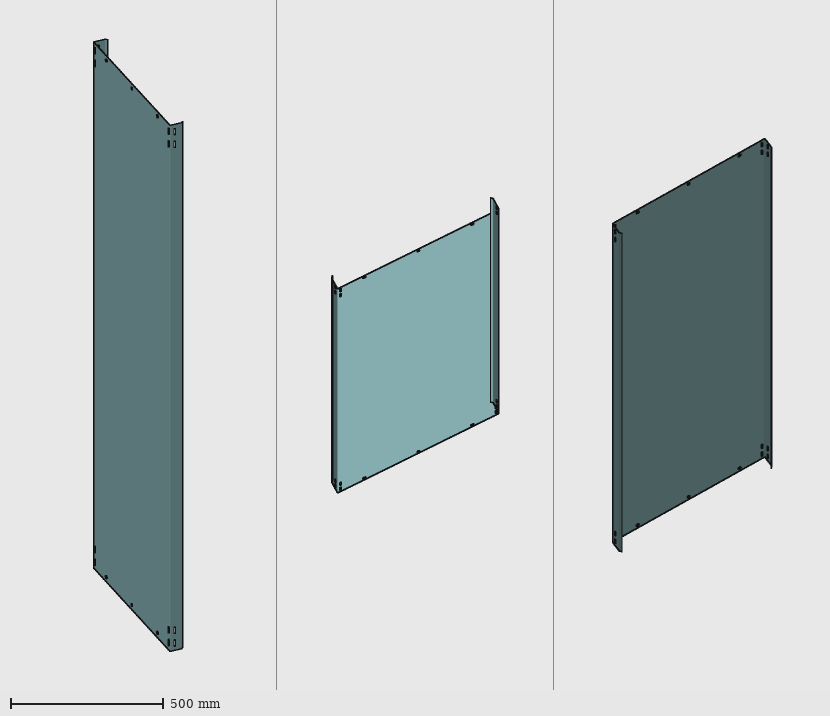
import cadquery as cq
import math

WIDTH = 600.0
DEPTH = 50.0
HEIGHT = 2000.0
SHEET = 2.0
OUTER_BEND_RADIUS = 5.0
INNER_BEND_RADIUS = OUTER_BEND_RADIUS - SHEET
LIP_ANGLE = math.radians(45)
LIP_INSET = 8.0

SLOT_LENGTH = 25.0
SLOT_WIDTH = 5.0
SLOT_END_OFFSET = 28.0
SLOT_PITCH = 48.0
FACE_SLOT_INSET = 12.0
FLANGE_SLOT_SETBACK = 18.0

ROW_END_OFFSET = 18.0
ROW_SPACING = 200.0
ROW_HOLE_DIAMETER = 10.0
ROW_SLOT_LENGTH = 12.0

HALF_WIDTH = WIDTH / 2
HALF_HEIGHT = HEIGHT / 2
FRONT = -DEPTH / 2
BACK = DEPTH / 2
INNER_X = HALF_WIDTH - SHEET
INNER_FRONT = FRONT + SHEET
CUT_DEPTH = 2 * SHEET

LIP_TIP_X = HALF_WIDTH - LIP_INSET
LIP_TIP_OUTER = (LIP_TIP_X + SHEET * math.cos(LIP_ANGLE), BACK)
LIP_TIP_INNER = (LIP_TIP_X, BACK - SHEET * math.sin(LIP_ANGLE))
OUTER_FOLD_Y = BACK - (HALF_WIDTH - LIP_TIP_OUTER[0]) / math.tan(LIP_ANGLE)
INNER_FOLD_Y = OUTER_FOLD_Y - SHEET * math.tan(LIP_ANGLE / 2)


def upright_edges_at(x, y):
    """Selector for the mirrored pair of upright edges at -x and +x."""
    margin = SHEET / 10

    def box(centre_x):
        low = (centre_x - margin, y - margin, -margin)
        high = (centre_x + margin, y + margin, margin)
        return cq.selectors.BoxSelector(low, high)

    return cq.selectors.SumSelector(box(-x), box(x))


def folded_sheet():
    """Channel section drawn with sharp folds, extruded upright, then rounded at the folds."""
    right_side = [
        (HALF_WIDTH, FRONT),
        (HALF_WIDTH, OUTER_FOLD_Y),
        LIP_TIP_OUTER,
        LIP_TIP_INNER,
        (INNER_X, INNER_FOLD_Y),
        (INNER_X, INNER_FRONT),
    ]
    left_side = [(-x, y) for x, y in reversed(right_side)]
    sheet = cq.Workplane("XY").polyline(right_side + left_side).close().extrude(HALF_HEIGHT, both=True)
    for y in (FRONT, OUTER_FOLD_Y):
        sheet = sheet.edges(upright_edges_at(HALF_WIDTH, y)).fillet(OUTER_BEND_RADIUS)
    for y in (INNER_FRONT, INNER_FOLD_Y):
        sheet = sheet.edges(upright_edges_at(INNER_X, y)).fillet(INNER_BEND_RADIUS)
    return sheet


def face_plane():
    """Work plane on the front of the face, with X across and Z up."""
    return cq.Workplane("XZ", origin=(0, FRONT, 0))


def corner_slot_heights():
    """Heights of the paired slots, mirrored about mid-height."""
    outer = HALF_HEIGHT - SLOT_END_OFFSET
    inner = outer - SLOT_PITCH
    return (-outer, -inner, inner, outer)


def face_slots():
    x = HALF_WIDTH - FACE_SLOT_INSET
    centres = [(side * x, z) for side in (-1, 1) for z in corner_slot_heights()]
    slots = face_plane().pushPoints(centres).slot2D(SLOT_LENGTH, SLOT_WIDTH, 90)
    return slots.extrude(CUT_DEPTH, both=True)


def flange_slots():
    """Slots running straight across the panel through both side flanges."""
    y = FRONT + FLANGE_SLOT_SETBACK
    centres = [(y, z) for z in corner_slot_heights()]
    slots = cq.Workplane("YZ").pushPoints(centres).slot2D(SLOT_LENGTH, SLOT_WIDTH, 90)
    return slots.extrude(HALF_WIDTH + CUT_DEPTH, both=True)


def row_round_holes():
    z = HALF_HEIGHT - ROW_END_OFFSET
    holes = face_plane().pushPoints([(0, -z), (0, z)]).circle(ROW_HOLE_DIAMETER / 2)
    return holes.extrude(CUT_DEPTH, both=True)


def row_slots():
    z = HALF_HEIGHT - ROW_END_OFFSET
    slots = face_plane().rect(2 * ROW_SPACING, 2 * z, forConstruction=True).vertices()
    return slots.slot2D(ROW_SLOT_LENGTH, ROW_HOLE_DIAMETER).extrude(CUT_DEPTH, both=True)


result = folded_sheet()
for cutter in (face_slots(), flange_slots(), row_round_holes(), row_slots()):
    result = result.cut(cutter)